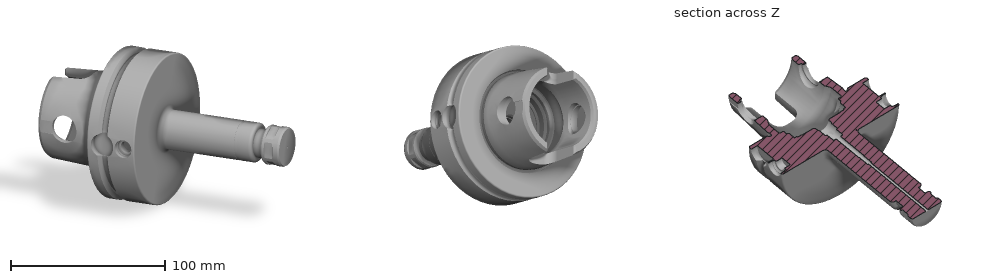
import cadquery as cq
import math

OVERALL_LENGTH = 165.0

TAPER_END_R = 29.7
TAPER_CHAMFER = 2.1
TAPER_CHAMFER_DROP = 1.2
TAPER_BASE_R = 32.0
TAPER_LENGTH = 42.9
NECK_R = 31.5
NECK_START = 44.2

FLANGE_R = 50.0
FLANGE_START = 44.9
FLANGE_END = 78.9
FLANGE_FILLET_R = 1.0
FACE_GROOVE_R = 34.0
FACE_GROOVE_DEPTH = 1.5
FACE_GROOVE_CHAMFER = 0.8

GROOVE_CENTER = 56.0
GROOVE_MOUTH_WIDTH = 7.3
GROOVE_FLOOR_WIDTH = 3.6
GROOVE_FLOOR_R = 46.2
GROOVE_WALL_R = 47.2

STEM_R = 13.0
STEM_FILLET_R = 2.8
STEM_END = 145.0
STEM_END_FILLET_R = 2.1
RELIEF_START = 132.8
RELIEF_END = 134.8
RELIEF_DEPTH = 0.2
COLLAR_R = 9.5

NUT_START = 151.6
NUT_BACK_CHAMFER = 1.0
NUT_FRONT_CHAMFER = 1.3
NUT_EDGE_DROP = 0.7
FLAT_COUNT = 6
FLAT_DISTANCE = 11.9
FLAT_START = 154.3
FLAT_END = 159.7
FLAT_LEAN = 0.8

BORE_R = 24.1
BORE_CHAMFER = 1.0
BORE_CHAMFER_LENGTH = 2.0
BORE_END = 33.8
CLAMP_ANGLE = 30
UNDERCUT_R = 26.4
UNDERCUT_END = 47.7
UNDERCUT_CHAMFER = 0.7
SEAT_R = 23.1
SEAT_END = 51.2
COOLANT_BORE_R = 21.6
COOLANT_BORE_END = 57.8
STEP_R = 19.6
STEP_END = 58.5
FLOOR_R = 16.2
FLOOR_X = 58.9

INLET_R = 6.8
INLET_CHAMFER = 1.0
PASSAGE_STEPS = [
    (11.2, 62.7),
    (10.0, 69.3),
    (7.8, 75.9),
    (3.5, 99.0),
    (3.0, 107.2),
    (1.6, OVERALL_LENGTH),
]

SLOT_WIDTH = 20.5
SLOT_DEPTH = 26.7
SLOT_CORNER_R = 6.1
SLOT_MOUTH_CHAMFER = 1.2

CROSS_HOLE_R = 9.2
CROSS_HOLE_X = 19.3
CROSS_COUNTERBORE_X = 18.5
CROSS_COUNTERBORE_R = 10.2
CROSS_COUNTERBORE_Y = 26.2
LEAD_WIDTH = 8.4
LEAD_Y = 29.2

RECESS_DIAMETER = 16.0
RECESS_FLOOR_Y = 44.9
SCREW_X = 71.0
SCREW_STEPS = [(12.0, 3.3), (11.2, 5.0), (8.0, 9.9)]


def revolve_about_x(profile):
    """Close a wire on the XY plane and turn it about the X axis."""
    return profile.close().revolve(360, (0, 0, 0), (1, 0, 0))


def turned(points):
    """Solid of revolution about X from (x, radius) points."""
    return revolve_about_x(cq.Workplane("XY").polyline(points))


def side_cylinder(x, radius, floor_y, side):
    """Cylinder along Y at the given X, from floor_y out past the rim; side is -1 or +1."""
    plane = cq.Plane(origin=(x, side * floor_y, 0), xDir=(1, 0, 0), normal=(0, side, 0))
    return cq.Workplane(plane).circle(radius).extrude(FLANGE_R)


def make_body():
    groove_mouth = GROOVE_MOUTH_WIDTH / 2
    groove_floor = GROOVE_FLOOR_WIDTH / 2
    groove_bed = FLANGE_START + FACE_GROOVE_DEPTH
    arc_inset = 1 - math.sqrt(0.5)
    rim_inset = FLANGE_FILLET_R * arc_inset
    root_inset = STEM_FILLET_R * arc_inset
    end_inset = STEM_END_FILLET_R * arc_inset
    profile = (
        cq.Workplane("XY")
        .moveTo(0, 0)
        .lineTo(0, TAPER_END_R - TAPER_CHAMFER_DROP)
        .lineTo(TAPER_CHAMFER, TAPER_END_R)
        .lineTo(TAPER_LENGTH, TAPER_BASE_R)
        .lineTo(NECK_START, NECK_R)
        .lineTo(groove_bed, NECK_R)
        .lineTo(groove_bed, FACE_GROOVE_R - FACE_GROOVE_CHAMFER)
        .lineTo(groove_bed - FACE_GROOVE_CHAMFER, FACE_GROOVE_R)
        .lineTo(FLANGE_START, FACE_GROOVE_R)
        .lineTo(FLANGE_START, FLANGE_R - FLANGE_FILLET_R)
        .threePointArc(
            (FLANGE_START + rim_inset, FLANGE_R - rim_inset),
            (FLANGE_START + FLANGE_FILLET_R, FLANGE_R),
        )
        .lineTo(GROOVE_CENTER - groove_mouth, FLANGE_R)
        .lineTo(GROOVE_CENTER - groove_floor, GROOVE_WALL_R)
        .lineTo(GROOVE_CENTER - groove_floor, GROOVE_FLOOR_R)
        .lineTo(GROOVE_CENTER + groove_floor, GROOVE_FLOOR_R)
        .lineTo(GROOVE_CENTER + groove_floor, GROOVE_WALL_R)
        .lineTo(GROOVE_CENTER + groove_mouth, FLANGE_R)
        .lineTo(FLANGE_END - FLANGE_FILLET_R, FLANGE_R)
        .threePointArc(
            (FLANGE_END - rim_inset, FLANGE_R - rim_inset),
            (FLANGE_END, FLANGE_R - FLANGE_FILLET_R),
        )
        .lineTo(FLANGE_END, STEM_R + STEM_FILLET_R)
        .threePointArc(
            (FLANGE_END + root_inset, STEM_R + root_inset),
            (FLANGE_END + STEM_FILLET_R, STEM_R),
        )
        .lineTo(RELIEF_START, STEM_R)
        .lineTo(RELIEF_START, STEM_R - RELIEF_DEPTH)
        .lineTo(RELIEF_END, STEM_R - RELIEF_DEPTH)
        .lineTo(RELIEF_END, STEM_R)
        .lineTo(STEM_END - STEM_END_FILLET_R, STEM_R)
        .threePointArc(
            (STEM_END - end_inset, STEM_R - end_inset),
            (STEM_END, STEM_R - STEM_END_FILLET_R),
        )
        .lineTo(STEM_END, COLLAR_R)
        .lineTo(NUT_START, COLLAR_R)
        .lineTo(NUT_START, STEM_R - NUT_EDGE_DROP)
        .lineTo(NUT_START + NUT_BACK_CHAMFER, STEM_R)
        .lineTo(OVERALL_LENGTH - NUT_FRONT_CHAMFER, STEM_R)
        .lineTo(OVERALL_LENGTH, STEM_R - NUT_EDGE_DROP)
        .lineTo(OVERALL_LENGTH, 0)
    )
    return revolve_about_x(profile)


def make_bore():
    undercut_start = BORE_END + (UNDERCUT_R - BORE_R) / math.tan(math.radians(CLAMP_ANGLE))
    undercut_floor = UNDERCUT_END + UNDERCUT_CHAMFER
    points = [
        (0, 0),
        (0, BORE_R + BORE_CHAMFER),
        (BORE_CHAMFER_LENGTH, BORE_R),
        (BORE_END, BORE_R),
        (undercut_start, UNDERCUT_R),
        (UNDERCUT_END, UNDERCUT_R),
        (undercut_floor, UNDERCUT_R - UNDERCUT_CHAMFER),
        (undercut_floor, SEAT_R),
        (SEAT_END, SEAT_R),
        (SEAT_END + SEAT_R - COOLANT_BORE_R, COOLANT_BORE_R),
        (COOLANT_BORE_END, COOLANT_BORE_R),
        (COOLANT_BORE_END, STEP_R),
        (STEP_END, STEP_R),
        (STEP_END, FLOOR_R),
        (FLOOR_X, FLOOR_R),
        (FLOOR_X, INLET_R),
    ]
    passage_x = FLOOR_X + INLET_CHAMFER
    for diameter, end_x in PASSAGE_STEPS:
        points += [(passage_x, diameter / 2), (end_x, diameter / 2)]
        passage_x = end_x
    points.append((OVERALL_LENGTH, 0))
    return turned(points)


def make_drive_slot():
    slot = (
        cq.Workplane("XY")
        .box(2 * SLOT_DEPTH, SLOT_WIDTH, 2 * FLANGE_R)
        .edges("|Z and >X")
        .fillet(SLOT_CORNER_R)
    )
    half_mouth = SLOT_WIDTH / 2 + SLOT_MOUTH_CHAMFER
    mouth = (
        cq.Workplane("XY")
        .polyline([(0, -half_mouth), (0, half_mouth), (half_mouth, 0)])
        .close()
        .extrude(FLANGE_R, both=True)
    )
    return slot.union(mouth)


def make_cross_features(side):
    hole = side_cylinder(CROSS_HOLE_X, CROSS_HOLE_R, 0, side)
    lead = (
        cq.Workplane("XZ", origin=(0, side * LEAD_Y, 0))
        .center(CROSS_HOLE_X / 2, 0)
        .rect(CROSS_HOLE_X, LEAD_WIDTH)
        .extrude(-side * TAPER_BASE_R)
    )
    counterbore = (
        cq.Workplane("XZ")
        .center(CROSS_COUNTERBORE_X, 0)
        .circle(CROSS_COUNTERBORE_R)
        .extrude(-side * CROSS_COUNTERBORE_Y)
    )
    return hole.union(lead).union(counterbore)


def make_rim_features(side):
    recess = side_cylinder(GROOVE_CENTER, RECESS_DIAMETER / 2, RECESS_FLOOR_Y, side)
    for diameter, depth in SCREW_STEPS:
        recess = recess.union(side_cylinder(SCREW_X, diameter / 2, FLANGE_R - depth, side))
    return recess


def make_nut_flat(index):
    """Pocket down to one wrench flat; its front wall leans outward."""
    outer = 2 * STEM_R - FLAT_DISTANCE
    lean = 2 * FLAT_LEAN
    pocket = (
        cq.Workplane("XY")
        .polyline([
            (FLAT_START, FLAT_DISTANCE),
            (FLAT_END, FLAT_DISTANCE),
            (FLAT_END + lean, outer),
            (FLAT_START, outer),
        ])
        .close()
        .extrude(STEM_R, both=True)
    )
    return pocket.rotate((0, 0, 0), (1, 0, 0), index * 360 / FLAT_COUNT)


result = make_body().cut(make_bore()).cut(make_drive_slot())
for rim_side in (-1, 1):
    result = result.cut(make_cross_features(rim_side)).cut(make_rim_features(rim_side))
for flat_index in range(FLAT_COUNT):
    result = result.cut(make_nut_flat(flat_index))